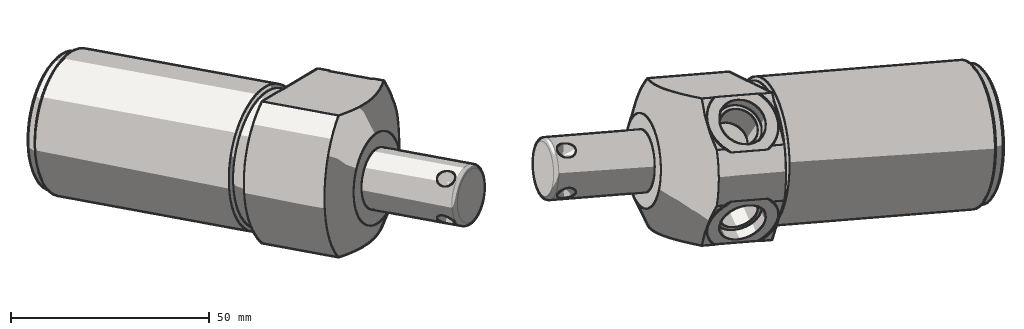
import cadquery as cq
import math


BODY_DIAMETER = 37.85
BODY_RADIUS = BODY_DIAMETER / 2
RELIEF_RADIUS = 17.95
END_FACE_RADIUS = 17.1
END_CHAMFER_LENGTH = 0.7
BODY_START = 2.5
BODY_CHAMFER_LENGTH = 0.7
BODY_END = 59.65

HEAD_START = 63.6
HEAD_END = 91.1
HEAD_DIAMETER = 47.62
HEAD_RADIUS = HEAD_DIAMETER / 2
HEAD_OFFSET = 4.31
HEAD_HEIGHT = BODY_DIAMETER
NOSE_RADIUS = 12.1
NOSE_ANGLE = 30.0

SLANT_TOP_Y = 18.75
SLANT_SIDE_Z = 7.2
SLANT_SIDE_Y = HEAD_OFFSET + math.sqrt(HEAD_RADIUS**2 - SLANT_SIDE_Z**2)

PORT_X = HEAD_START + 9.6
SPOTFACE_DIAMETER = 18.9
SPOTFACE_DEPTH = 0.3
COUNTERBORE_DIAMETER = 12.3
COUNTERBORE_DEPTH = 3.3
PORT_DIAMETER = 10.2
PORT_DEPTH = 12.0

ROD_DIAMETER = 16.0
ROD_END = 118.14
ROD_EDGE_RADIUS = 1.0
DIMPLE_RADIUS = 2.5
DIMPLE_X = ROD_END - 4.0
DIMPLE_COUNT = 4
DIMPLE_FIRST_ANGLE = 45


def revolve_about_x(profile_points):
    """Revolve a closed (x, radius) outline about the X axis."""
    return cq.Workplane("XY").polyline(profile_points).close().revolve(360, (0, 0, 0), (1, 0, 0))


def make_body():
    """Cylinder with a chamfered end step and an undercut next to the head."""
    return revolve_about_x([
        (0, 0),
        (0, END_FACE_RADIUS),
        (END_CHAMFER_LENGTH, RELIEF_RADIUS),
        (BODY_START, RELIEF_RADIUS),
        (BODY_START + BODY_CHAMFER_LENGTH, BODY_RADIUS),
        (BODY_END - BODY_CHAMFER_LENGTH, BODY_RADIUS),
        (BODY_END, RELIEF_RADIUS),
        (HEAD_START, RELIEF_RADIUS),
        (HEAD_START, 0),
    ])


def make_head():
    """Offset round head with two flats, two slanted port faces and a conical nose."""
    half_height = HEAD_HEIGHT / 2
    flat_end_y = HEAD_OFFSET - math.sqrt(HEAD_RADIUS**2 - half_height**2)
    outline = (
        cq.Workplane("YZ", origin=(HEAD_START, 0, 0))
        .moveTo(flat_end_y, half_height)
        .lineTo(SLANT_TOP_Y, half_height)
        .lineTo(SLANT_SIDE_Y, SLANT_SIDE_Z)
        .threePointArc((HEAD_OFFSET + HEAD_RADIUS, 0), (SLANT_SIDE_Y, -SLANT_SIDE_Z))
        .lineTo(SLANT_TOP_Y, -half_height)
        .lineTo(flat_end_y, -half_height)
        .threePointArc((HEAD_OFFSET - HEAD_RADIUS, 0), (flat_end_y, half_height))
        .close()
    )
    head_length = HEAD_END - HEAD_START
    cone_base_radius = NOSE_RADIUS + head_length / math.tan(math.radians(NOSE_ANGLE))
    nose_cone = revolve_about_x([
        (HEAD_START, 0),
        (HEAD_START, cone_base_radius),
        (HEAD_END, NOSE_RADIUS),
        (HEAD_END, 0),
    ])
    return outline.extrude(head_length).intersect(nose_cone)


def make_port_cutter(side):
    """Stepped port square to a slanted face; side is +1 for the upper face, -1 for the lower."""
    run_y = SLANT_SIDE_Y - SLANT_TOP_Y
    rise_z = HEAD_HEIGHT / 2 - SLANT_SIDE_Z
    center = (
        PORT_X,
        (SLANT_TOP_Y + SLANT_SIDE_Y) / 2,
        side * (HEAD_HEIGHT / 2 + SLANT_SIDE_Z) / 2,
    )
    face = cq.Plane(origin=center, xDir=(1, 0, 0), normal=(0, rise_z, side * run_y))

    def bore(diameter, depth):
        return cq.Workplane(face).circle(diameter / 2).extrude(-depth)

    spotface = (
        cq.Workplane(face)
        .workplane(offset=-SPOTFACE_DEPTH)
        .circle(SPOTFACE_DIAMETER / 2)
        .extrude(2 * SPOTFACE_DEPTH)
    )
    counterbore = bore(COUNTERBORE_DIAMETER, SPOTFACE_DEPTH + COUNTERBORE_DEPTH)
    return spotface.union(counterbore).union(bore(PORT_DIAMETER, PORT_DEPTH))


def make_rod():
    """Piston rod with a rounded end and a ring of conical dimples."""
    rod_radius = ROD_DIAMETER / 2
    rod = (
        cq.Workplane("YZ", origin=(HEAD_END, 0, 0))
        .circle(rod_radius)
        .extrude(ROD_END - HEAD_END)
        .faces(">X").edges().fillet(ROD_EDGE_RADIUS)
    )
    dimple = cq.Workplane(
        cq.Solid.makeCone(
            DIMPLE_RADIUS,
            0,
            DIMPLE_RADIUS,
            pnt=cq.Vector(DIMPLE_X, 0, rod_radius),
            dir=cq.Vector(0, 0, -1),
        )
    )
    for index in range(DIMPLE_COUNT):
        angle = DIMPLE_FIRST_ANGLE + index * 360 / DIMPLE_COUNT
        rod = rod.cut(dimple.rotate((0, 0, 0), (1, 0, 0), angle))
    return rod


result = make_body().union(make_head()).union(make_rod())
for port_side in (1, -1):
    result = result.cut(make_port_cutter(port_side))